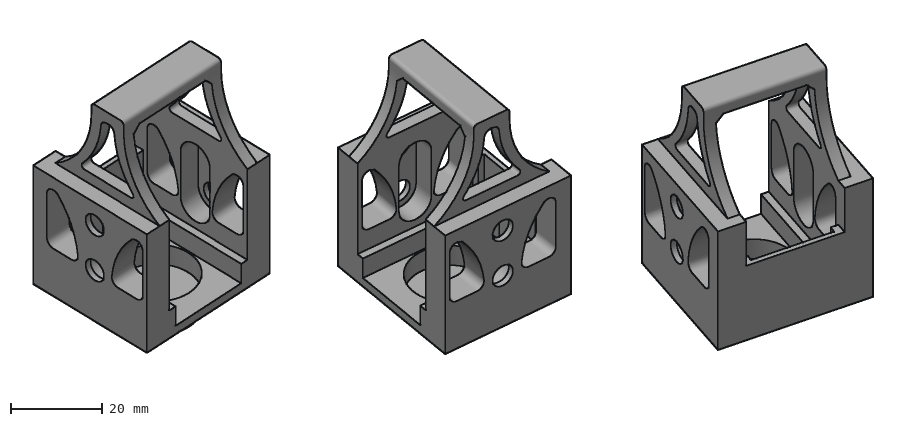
import cadquery as cq
import math

BODY_LEFT = -18.8
BODY_RIGHT = 15.9
BODY_WIDTH = 38.8
BODY_BOTTOM = 7.1
BODY_TOP = 40.5
TOTAL_HEIGHT = 63.6

NECK_DIAMETER = 20.0
NECK_HEIGHT = 2.1

CHANNEL_LEFT = -15.9
CHANNEL_WIDTH = 24.6
LEDGE_HEIGHT = 15.0
WALL_SLOT_LEFT = -17.55
POCKET_WIDTH = 20.75
FLOOR_HEIGHT = 9.55
NOTCH_HEIGHT = 28.1
RECESS_BOTTOM = 4.0
FLOOR_HOLE_DIAMETER = 3.0
FLOOR_HOLE_OFFSET = 7.0

HANDLE_WIDTH = 30.8
BAR_HALF_LENGTH = 4.95
BAR_BOTTOM = 60.4
BAR_EDGE_RADIUS = 1.0
FLARE_HALF_LENGTH = 15.9
OPENING_CHAMFER = 1.9
LEG_STRIP = 3.0
LEG_WINDOW_BOTTOM = 43.6
LEG_WINDOW_TOP_RADIUS = 1.8
LEG_WINDOW_CORNER_RADIUS = 0.8

WINDOW_OUTER_X = 14.6
WINDOW_INNER_X = 5.1
WINDOW_BOTTOM = 20.55
WINDOW_CURVE_RADIUS = 23.6
WINDOW_CORNER_RADIUS = 2.0
SCREW_HOLE_DIAMETER = 5.6
SCREW_HOLE_HEIGHTS = (21.5, 34.2)
SLOT_WIDTH = 8.95
SLOT_SKIN = 1.5


def box(x_min, x_max, width, z_min, z_max):
    """Block centred on Y = 0."""
    block = cq.Workplane("XY").box(x_max - x_min, width, z_max - z_min, centered=(False, True, False))
    return block.translate((x_min, 0, z_min))


def along_y(sketch, width):
    """Extrude an XZ outline symmetrically about Y = 0."""
    return sketch.extrude(width / 2, both=True)


def circle_point(center, radius, angle):
    return (center[0] + radius * math.cos(angle), center[1] + radius * math.sin(angle))


def mirror_x(point):
    return (-point[0], point[1])


flare_run = FLARE_HALF_LENGTH - BAR_HALF_LENGTH
flare_drop = BAR_BOTTOM - BODY_TOP
FLARE_RADIUS = (flare_run**2 + flare_drop**2) / (2 * flare_run)
FLARE_CENTER = (BAR_HALF_LENGTH + FLARE_RADIUS, BAR_BOTTOM)


def flare_point(height, inset=0):
    """Point on the +X flare at a height, moved towards the axis by the inset."""
    rise = height - FLARE_CENTER[1]
    return (FLARE_CENTER[0] - math.sqrt(FLARE_RADIUS**2 - rise**2) - inset, height)


def flared_outline(bottom, top, cap, inset=0):
    """XZ outline between the two mirrored flares, with straight sides from top to cap."""
    foot = flare_point(bottom, inset)
    middle = flare_point((bottom + top) / 2, inset)
    head = flare_point(top, inset)
    outline = cq.Workplane("XZ").moveTo(*mirror_x(foot)).threePointArc(mirror_x(middle), mirror_x(head))
    if cap > top:
        outline = outline.lineTo(-head[0], cap).lineTo(head[0], cap)
    return outline.lineTo(*head).threePointArc(middle, foot).close()


def make_neck():
    cone_height = BODY_BOTTOM - NECK_HEIGHT
    neck_radius = NECK_DIAMETER / 2
    profile = (
        cq.Workplane("XZ")
        .moveTo(0, 0)
        .lineTo(neck_radius, 0)
        .lineTo(neck_radius, NECK_HEIGHT)
        .lineTo(neck_radius + cone_height, BODY_BOTTOM)
        .lineTo(0, BODY_BOTTOM)
        .close()
    )
    return profile.revolve(360, (0, 0, 0), (0, 1, 0))


def make_handle():
    handle = along_y(flared_outline(BODY_TOP, BAR_BOTTOM, TOTAL_HEIGHT), HANDLE_WIDTH)
    return handle.faces(">Z").edges("|Y").fillet(BAR_EDGE_RADIUS)


def make_handle_opening():
    """Space between the legs, with chamfered corners under the bar."""
    opening = box(-FLARE_HALF_LENGTH, FLARE_HALF_LENGTH, CHANNEL_WIDTH, LEDGE_HEIGHT, BAR_BOTTOM)
    return opening.faces(">Z").edges("|X").chamfer(OPENING_CHAMFER)


def make_leg_window():
    """Triangular hole whose sides repeat the flares, moved inwards by the strip width."""
    outline = flared_outline(LEG_WINDOW_BOTTOM, BAR_BOTTOM, BAR_BOTTOM, LEG_STRIP)
    window = along_y(outline, BODY_WIDTH)
    window = window.faces(">Z").edges("|Y").fillet(LEG_WINDOW_TOP_RADIUS)
    return window.faces("<Z").edges("|Y").fillet(LEG_WINDOW_CORNER_RADIUS)


def make_side_window():
    """Window on the +X side: straight outer edge, bulging inner edge."""
    center = (WINDOW_INNER_X + WINDOW_CURVE_RADIUS, WINDOW_BOTTOM)
    tip_angle = math.acos((WINDOW_OUTER_X - center[0]) / WINDOW_CURVE_RADIUS)
    tip = circle_point(center, WINDOW_CURVE_RADIUS, tip_angle)
    middle = circle_point(center, WINDOW_CURVE_RADIUS, (tip_angle + math.pi) / 2)
    outline = (
        cq.Workplane("XZ")
        .moveTo(WINDOW_INNER_X, WINDOW_BOTTOM)
        .lineTo(WINDOW_OUTER_X, WINDOW_BOTTOM)
        .lineTo(*tip)
        .threePointArc(middle, (WINDOW_INNER_X, WINDOW_BOTTOM))
        .close()
    )
    return along_y(outline, BODY_WIDTH).edges("|Y").fillet(WINDOW_CORNER_RADIUS)


def make_screw_holes():
    centers = [(0, height) for height in SCREW_HOLE_HEIGHTS]
    return along_y(cq.Workplane("XZ").pushPoints(centers).circle(SCREW_HOLE_DIAMETER / 2), BODY_WIDTH)


def make_head_slots():
    """Upright slot around both screw holes, cut from inside up to a thin outer skin."""
    low, high = SCREW_HOLE_HEIGHTS
    outline = cq.Workplane("XZ").center(0, (low + high) / 2).slot2D(high - low + SLOT_WIDTH, SLOT_WIDTH, 90)
    return along_y(outline, BODY_WIDTH - 2 * SLOT_SKIN)


def make_floor_cuts():
    recess = cq.Workplane("XY").workplane(offset=FLOOR_HEIGHT).circle(NECK_DIAMETER / 2)
    recess = recess.extrude(RECESS_BOTTOM - FLOOR_HEIGHT)
    centers = [(-FLOOR_HOLE_OFFSET, 0), (FLOOR_HOLE_OFFSET, 0)]
    holes = cq.Workplane("XY").pushPoints(centers).circle(FLOOR_HOLE_DIAMETER / 2).extrude(FLOOR_HEIGHT)
    return recess.union(holes)


body = box(BODY_LEFT, BODY_RIGHT, BODY_WIDTH, BODY_BOTTOM, BODY_TOP)
body = body.union(make_neck()).union(make_handle())

notch = box(BODY_LEFT, CHANNEL_LEFT, CHANNEL_WIDTH, NOTCH_HEIGHT, BODY_TOP)
wall_slot = box(WALL_SLOT_LEFT, CHANNEL_LEFT, POCKET_WIDTH, LEDGE_HEIGHT, NOTCH_HEIGHT)
pocket = box(CHANNEL_LEFT, BODY_RIGHT, POCKET_WIDTH, FLOOR_HEIGHT, LEDGE_HEIGHT)
side_window = make_side_window()

result = (
    body.cut(make_handle_opening())
    .cut(notch)
    .cut(wall_slot)
    .cut(pocket)
    .cut(make_leg_window())
    .cut(side_window)
    .cut(side_window.mirror("YZ"))
    .cut(make_screw_holes())
    .cut(make_head_slots())
    .cut(make_floor_cuts())
)